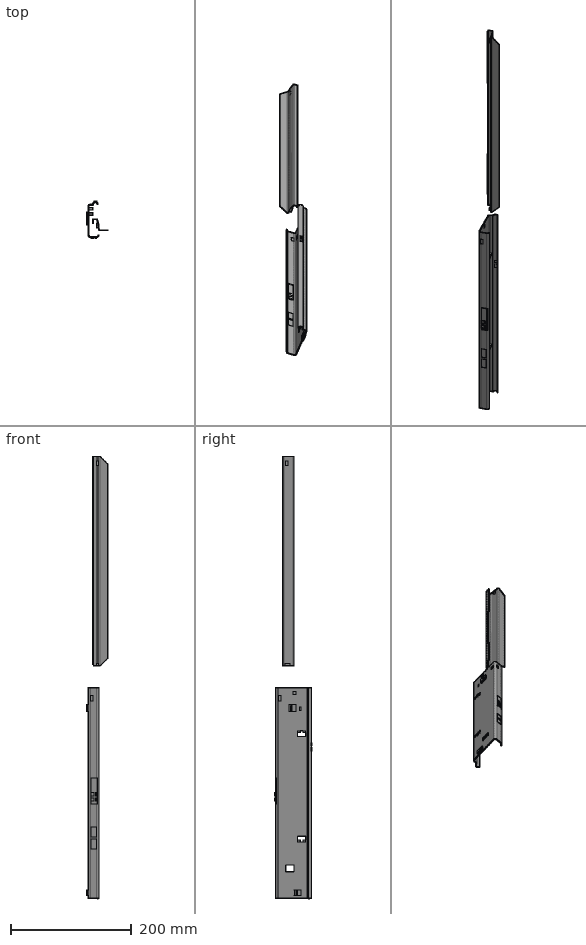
import cadquery as cq


channel_length = 350.0
channel_thickness = 1.8
channel_depth = 18.4
flange_face_y = -29.7
web_bend_radius = 3.4
lip_bend_radius = 3.6
ledge_y = 24.9
ledge_bend_radius = 2.6
arch_left_x = 8.4
arch_radius = 3.7
riser_radius = 0.8
arch_tooth_drop = 1.3
arch_tooth_thickness = 1.0
arch_tooth_width = 1.0
overall_half_width = 31.275

half_channel_thickness = channel_thickness / 2
web_x = half_channel_thickness
flange_y = flange_face_y + half_channel_thickness
lip_x = channel_depth - half_channel_thickness
arch_center_y = ledge_y + riser_radius
arch_middle_x = arch_left_x + arch_radius
arch_right_x = arch_left_x + 2 * arch_radius

hook_reach = 2.345
upper_hook = {"y": -1.3, "z": 315.8, "width": 11.0, "height": 11.5}
lower_hook = {"y": 7.4, "z": 9.2, "width": 11.0, "height": 9.5}
hook_gap_width = 1.8
hook_gap_offset = 1.8
hook_gap_end_margin = 1.6
stop_window_y = 14.0
stop_window_width = 13.3
stop_window_height = 9.0
upper_stop_window_z = 273.5
lower_stop_window_z = 98.5
stop_tooth_width = 4.6
stop_tooth_height = 3.0
stop_tooth_reach = 8.0
mounting_window_y = -5.5
mounting_window_z = 49.8
mounting_window_width = 13.3
mounting_window_height = 11.1
dimple_y = 2.2
dimple_z = 341.0
dimple_size = 4.8
dimple_depth = 0.5
mark_y = 11.5
mark_z = 315.0
mark_width = 3.0
mark_height = 6.0

flange_recess_left_x = 5.3
flange_recess_width = 8.4
flange_recess_height = 16.5
flange_recess_depth = 0.6
flange_recess_centers_z = (110.5, 90.5)
corner_pocket_depth = 0.6
corner_pocket_y = -22.5
corner_pocket_width = 4.6
corner_pocket_x = 6.0
corner_pocket_height = 9.0
corner_pocket_z = 332.0
bump_x = arch_middle_x
bump_width = 5.0
bumps = ((256.0, 4.0), (247.5, 6.5))

latch_left_x = flange_recess_left_x
latch_right_x = 16.0
latch_bottom_z = 157.0
latch_height = 43.0
latch_ridge_width = 5.0
latch_ridge_height = 5.5
latch_ridge_centers_z = (173.0, 164.0)
latch_rim_width = 1.5

bracket_top_z = 733.71
bracket_length = 348.0
bracket_thickness = 1.5
leg_x = 8.0
bracket_top_y = 0.8
top_bend_radius = 1.3
wall_top_x = 15.3
wall_x = 17.9
bracket_flange_y = -17.5
bracket_bend_radius = 1.8
bracket_tip_x = 32.945
bracket_chamfer = 13.0
leg_end_y = -3.3
leg_tab_end_y = -6.0
leg_tabs = ((633.0, bracket_top_z), (412.0, 491.0))
leg_bottom_relief = 2.5
wall_tab_left_x = 14.0
wall_tab_right_x = 17.4
upper_tab_y = (-12.5, -8.5)
upper_tab_height = 8.0
upper_tab_top_gap = 7.5
lower_tab_y = (-14.0, -5.0)
lower_tab_height = 4.5

wall_top_y = bracket_top_y - top_bend_radius
wall_bottom_y = bracket_flange_y + bracket_bend_radius
wall_run = wall_x - wall_top_x
wall_drop = wall_top_y - wall_bottom_y
wall_radius = (wall_run**2 + wall_drop**2) / (2 * wall_run)
bracket_bottom_z = bracket_top_z - bracket_length
half_bracket_thickness = bracket_thickness / 2


def box(x_range, y_range, z_range):
    """A block between two corners, each range given as (low, high)."""
    sizes = [high - low for low, high in (x_range, y_range, z_range)]
    corner = cq.Vector(x_range[0], y_range[0], z_range[0])
    return cq.Workplane(obj=cq.Solid.makeBox(*sizes, pnt=corner))


def around(middle, size):
    """The range of a given size around its middle."""
    return (middle - size / 2, middle + size / 2)


def end_cap(x, end_y, side, thickness, z_range):
    """The rounded end that an offset outline has past the end of its middle line; side is up (+1)
    or down (-1)."""
    y_range = sorted((end_y, end_y + side * thickness))
    return box(around(x, 2 * thickness), y_range, z_range)


def channel_profile():
    """Bent sheet: arch, ledge, web, lower flange and an upturned lip, extruded along Z."""
    middle_line = (
        cq.Workplane("XY")
        .moveTo(arch_right_x, arch_center_y)
        .threePointArc((arch_middle_x, arch_center_y + arch_radius), (arch_left_x, arch_center_y))
        .radiusArc((arch_left_x - riser_radius, ledge_y), riser_radius)
        .lineTo(web_x + ledge_bend_radius, ledge_y)
        .radiusArc((web_x, ledge_y - ledge_bend_radius), -ledge_bend_radius)
        .lineTo(web_x, flange_y + web_bend_radius)
        .radiusArc((web_x + web_bend_radius, flange_y), -web_bend_radius)
        .lineTo(lip_x - lip_bend_radius, flange_y)
        .radiusArc((lip_x, flange_y + lip_bend_radius), -lip_bend_radius)
        .wire()
    )
    sheet = middle_line.offset2D(half_channel_thickness).extrude(channel_length)
    for x, end_y, side in ((arch_right_x, arch_center_y, -1), (lip_x, flange_y + lip_bend_radius, 1)):
        sheet = sheet.cut(end_cap(x, end_y, side, channel_thickness, (0, channel_length)))
    return sheet


def web_cut(y, z, width, height, depth=channel_thickness):
    return box((0, depth), around(y, width), around(z, height))


def hook(y, z, width, height):
    """A slotted plate that stands off the web on a leg, in front of a window of the same size."""
    leg_y = y - width / 2
    plate = box((-hook_reach, channel_thickness - hook_reach), around(y, width), around(z, height))
    gap = box((-hook_reach, 0), around(y - hook_gap_offset, hook_gap_width),
              around(z, height - 2 * hook_gap_end_margin))
    leg = box((-hook_reach, channel_thickness), (leg_y - channel_thickness, leg_y), around(z, height))
    return plate.cut(gap).union(leg)


def stop_window(z, tooth_side):
    """The window's opening, and two teeth bent inward at its top (+1) or bottom (-1) edge."""
    opening = web_cut(stop_window_y, z, stop_window_width, stop_window_height)
    tooth_z = z + tooth_side * (stop_window_height - stop_tooth_height) / 2
    tooth_offset = (stop_window_width - stop_tooth_width) / 2
    teeth = [
        box((0, stop_tooth_reach),
            around(stop_window_y + side * tooth_offset, stop_tooth_width),
            around(tooth_z, stop_tooth_height))
        for side in (-1, 1)
    ]
    return opening, teeth


def latch_opening():
    return box((latch_left_x, latch_right_x),
               (flange_face_y, flange_face_y + channel_thickness),
               (latch_bottom_z, latch_bottom_z + latch_height))


def make_channel():
    channel = channel_profile()

    for place in (upper_hook, lower_hook):
        channel = channel.cut(web_cut(**place)).union(hook(**place))

    for z, tooth_side in ((upper_stop_window_z, 1), (lower_stop_window_z, -1)):
        opening, teeth = stop_window(z, tooth_side)
        channel = channel.cut(opening)
        for tooth in teeth:
            channel = channel.union(tooth)

    channel = channel.cut(
        web_cut(mounting_window_y, mounting_window_z, mounting_window_width, mounting_window_height)
    )
    channel = channel.cut(web_cut(dimple_y, dimple_z, dimple_size, dimple_size, dimple_depth))
    channel = channel.cut(web_cut(mark_y, mark_z, mark_width, mark_height, dimple_depth))

    for z in flange_recess_centers_z:
        channel = channel.cut(
            box((flange_recess_left_x, flange_recess_left_x + flange_recess_width),
                (flange_face_y, flange_face_y + flange_recess_depth),
                around(z, flange_recess_height))
        )
    channel = channel.cut(latch_opening())

    channel = channel.cut(
        web_cut(corner_pocket_y, corner_pocket_z, corner_pocket_width, corner_pocket_height,
                corner_pocket_depth)
    )
    channel = channel.cut(
        box(around(corner_pocket_x, corner_pocket_width),
            (flange_face_y, flange_face_y + corner_pocket_depth),
            around(corner_pocket_z, corner_pocket_height))
    )

    arch_inner_y = arch_center_y + arch_radius - half_channel_thickness
    for z, height in bumps:
        channel = channel.union(
            box(around(bump_x, bump_width), (arch_inner_y, overall_half_width), around(z, height))
        )

    tooth = box(around(arch_right_x, arch_tooth_thickness),
                (arch_center_y, arch_center_y + arch_tooth_width),
                (-arch_tooth_drop, 0))
    return channel.union(tooth)


def make_latch():
    """Fills its opening in the flange bend and carries two ridges and a rim outside."""
    plate = latch_opening().intersect(channel_profile())
    ridge_y = (-overall_half_width, flange_face_y + half_channel_thickness)
    for z in latch_ridge_centers_z:
        plate = plate.union(
            box((latch_left_x, latch_left_x + latch_ridge_width), ridge_y,
                around(z, latch_ridge_height))
        )
        plate = plate.union(
            box((lip_x - lip_bend_radius - latch_rim_width, lip_x - lip_bend_radius), ridge_y,
                around(z, latch_ridge_height))
        )
    return plate


def make_bracket():
    middle_line = (
        cq.Workplane("XY", origin=(0, 0, bracket_bottom_z))
        .moveTo(leg_x, leg_end_y)
        .lineTo(leg_x, bracket_top_y)
        .lineTo(wall_top_x - top_bend_radius, bracket_top_y)
        .radiusArc((wall_top_x, wall_top_y), top_bend_radius)
        .radiusArc((wall_x, wall_bottom_y), wall_radius)
        .radiusArc((wall_x + bracket_bend_radius, bracket_flange_y), -bracket_bend_radius)
        .lineTo(bracket_tip_x - half_bracket_thickness, bracket_flange_y)
        .wire()
    )
    bracket = middle_line.offset2D(half_bracket_thickness).extrude(bracket_length)
    bracket = bracket.cut(
        end_cap(leg_x, leg_end_y, -1, bracket_thickness, (bracket_bottom_z, bracket_top_z))
    )

    leg_x_range = around(leg_x, bracket_thickness)
    for bottom, top in leg_tabs:
        bracket = bracket.union(box(leg_x_range, (leg_tab_end_y, bracket_top_y), (bottom, top)))

    bracket = bracket.cut(
        box(leg_x_range, (leg_tab_end_y, bracket_top_y + half_bracket_thickness),
            (bracket_bottom_z, bracket_bottom_z + leg_bottom_relief))
    )

    tab_top_z = bracket_top_z - upper_tab_top_gap
    for y_range, z_range in (
        (upper_tab_y, (tab_top_z - upper_tab_height, tab_top_z)),
        (lower_tab_y, (bracket_bottom_z, bracket_bottom_z + lower_tab_height)),
    ):
        bracket = bracket.union(box((wall_tab_left_x, wall_tab_right_x), y_range, z_range))

    for end_z, inward in ((bracket_top_z, -1), (bracket_bottom_z, 1)):
        corner = (
            cq.Workplane("XZ", origin=(0, wall_bottom_y, 0))
            .moveTo(bracket_tip_x, end_z)
            .lineTo(bracket_tip_x - bracket_chamfer, end_z)
            .lineTo(bracket_tip_x, end_z + inward * bracket_chamfer)
            .close()
            .extrude(wall_bottom_y - bracket_flange_y + bracket_thickness)
        )
        bracket = bracket.cut(corner)
    return bracket


channel = make_channel()
latch = make_latch()
bracket = make_bracket()

result = cq.Compound.makeCompound([channel.val(), latch.val(), bracket.val()])